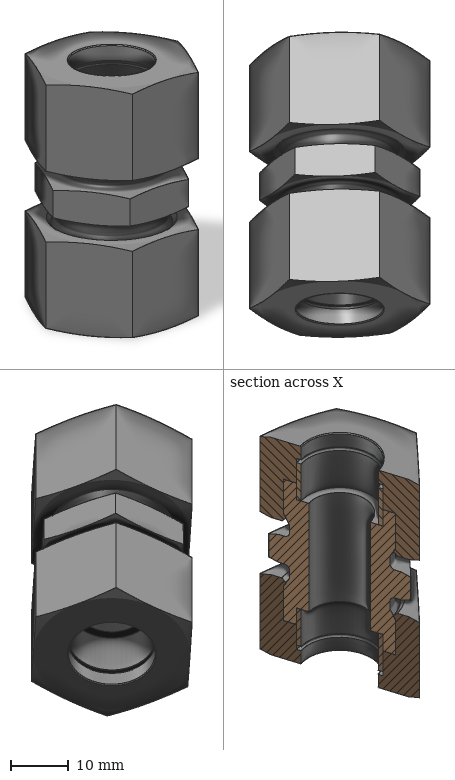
import cadquery as cq
import math

total_length = 46.0
nut_length = 17.0
collar_length = 6.0
middle = total_length / 2

nut_across_flats = 27.0
collar_across_flats = 24.0
hex_chamfer_angle = 15.0
hex_half_angle = 30.0

tube_bore = 12.0
tube_diameter = 15.0

neck_diameter = 19.7
neck_length = 2.3
undercut_fillet = 1.0
collar_fillet_angle = 90.0
runout_angle = 30.0
thread_diameter = 22.0
stub_end = 38.0

nut_bore = 20.4
nut_mouth_diameter = 22.6
entry_chamfer = 0.2
lip_length = 2.9

ring_diameter = 16.75
ring_length = 7.8
ring_gap = 0.8
ring_bottom = total_length - lip_length - ring_gap - ring_length


def hexagon(across_flats, bottom, length):
    """Hexagonal prism with flats facing +X and -X, its corners cut by a cone at both ends."""
    corner_diameter = across_flats / math.cos(math.radians(hex_half_angle))
    prism = (
        cq.Workplane("XY", origin=(0, 0, bottom))
        .polygon(6, corner_diameter)
        .extrude(length)
        .rotate((0, 0, 0), (0, 0, 1), hex_half_angle)
    )
    flat_radius = across_flats / 2
    corner_radius = corner_diameter / 2
    drop = (corner_radius - flat_radius) * math.tan(math.radians(hex_chamfer_angle))
    top = bottom + length
    envelope = (
        cq.Workplane("XZ")
        .polyline([
            (0, bottom),
            (flat_radius, bottom),
            (corner_radius, bottom + drop),
            (corner_radius, top - drop),
            (flat_radius, top),
            (0, top),
        ])
        .close()
        .revolve(360, (0, 0, 0), (0, 1, 0))
    )
    return prism.intersect(envelope)


def mirrored_down(upper):
    """Copy of an upper body at the lower end of the fitting."""
    return upper.mirror("XY", (0, 0, middle))


def make_stub():
    """Upper stub of the union: filleted neck, runout cone, thread and the pocket for the ring."""
    collar_top = middle + collar_length / 2
    neck_radius = neck_diameter / 2
    thread_radius = thread_diameter / 2
    neck_bottom = collar_top + undercut_fillet
    neck_top = collar_top + neck_length

    def fillet_point(neck_end, angle, direction):
        """Point on the fillet that leaves the neck at neck_end, after turning by angle."""
        turn = math.radians(angle)
        return (
            neck_radius + undercut_fillet * (1 - math.cos(turn)),
            neck_end + direction * undercut_fillet * math.sin(turn),
        )

    runout_start = fillet_point(neck_top, runout_angle, 1)
    runout_length = (thread_radius - runout_start[0]) / math.tan(math.radians(runout_angle))
    return (
        cq.Workplane("XZ")
        .moveTo(0, middle)
        .lineTo(neck_radius + undercut_fillet, middle)
        .lineTo(neck_radius + undercut_fillet, collar_top)
        .threePointArc(fillet_point(neck_bottom, collar_fillet_angle / 2, -1), (neck_radius, neck_bottom))
        .lineTo(neck_radius, neck_top)
        .threePointArc(fillet_point(neck_top, runout_angle / 2, 1), runout_start)
        .lineTo(thread_radius, runout_start[1] + runout_length)
        .lineTo(thread_radius, stub_end)
        .lineTo(ring_diameter / 2, stub_end)
        .lineTo(ring_diameter / 2, ring_bottom)
        .lineTo(0, ring_bottom)
        .close()
        .revolve(360, (0, 0, 0), (0, 1, 0))
    )


def make_nut(stub):
    """Upper nut: a lip around the tube, a ring chamber and a countersunk bore that matches the stub."""
    bottom = total_length - nut_length
    lip_bottom = total_length - lip_length
    tube_radius = tube_diameter / 2
    chamber_radius = ring_diameter / 2
    bore_radius = nut_bore / 2
    mouth_radius = nut_mouth_diameter / 2
    countersink = mouth_radius - bore_radius
    cavity = (
        cq.Workplane("XZ")
        .polyline([
            (0, bottom),
            (mouth_radius, bottom),
            (bore_radius, bottom + countersink),
            (bore_radius, stub_end),
            (chamber_radius, stub_end),
            (chamber_radius, lip_bottom),
            (tube_radius, lip_bottom),
            (tube_radius, total_length - entry_chamfer),
            (tube_radius + entry_chamfer, total_length),
            (0, total_length),
        ])
        .close()
        .revolve(360, (0, 0, 0), (0, 1, 0))
    )
    return hexagon(nut_across_flats, bottom, nut_length).cut(cavity).cut(stub)


def make_ring():
    """Upper cutting ring, a plain sleeve around the tube."""
    return (
        cq.Workplane("XY", origin=(0, 0, ring_bottom))
        .circle(ring_diameter / 2)
        .circle(tube_diameter / 2)
        .extrude(ring_length)
    )


def make_union(stub):
    """Union: hexagonal collar between two stubs, with a bore through all of them."""
    collar = hexagon(collar_across_flats, middle - collar_length / 2, collar_length)
    bore = cq.Workplane("XY").circle(tube_bore / 2).extrude(total_length)
    return collar.union(stub).union(mirrored_down(stub)).cut(bore)


upper_stub = make_stub()
union = make_union(upper_stub)
bodies = [union.val()]
for upper_body in (make_nut(upper_stub), make_ring()):
    bodies.append(upper_body.val())
    bodies.append(mirrored_down(upper_body).val())

result = cq.Compound.makeCompound(bodies)